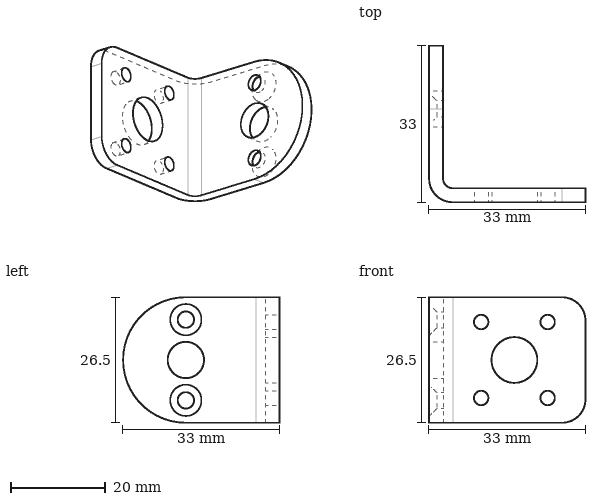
import cadquery as cq

LEG_LENGTH = 33.0
HEIGHT = 26.5
THICKNESS = 3.0
INNER_BEND_RADIUS = 2.0
OUTER_BEND_RADIUS = INNER_BEND_RADIUS + THICKNESS
MID_HEIGHT = HEIGHT / 2

MOTOR_CORNER_RADIUS = 5.0
MOTOR_CENTER_X = 18.0
MOTOR_BORE_DIAMETER = 9.6
MOTOR_SCREW_DIAMETER = 3.0
MOTOR_SCREW_PITCH_X = 14.0
MOTOR_SCREW_PITCH_Z = 16.0

ROUND_END_RADIUS = HEIGHT / 2
ROUND_CENTER_Y = LEG_LENGTH - ROUND_END_RADIUS
ROUND_BORE_DIAMETER = 7.6
COUNTERSUNK_HOLE_DIAMETER = 3.4
COUNTERSINK_DIAMETER = 6.6
COUNTERSINK_ANGLE = 90.0
COUNTERSUNK_PITCH_Z = 17.0


def bent_strip():
    """L-shaped strip with its outer bend at the origin corner."""
    strip = (
        cq.Workplane("XY")
        .polyline([
            (0, 0),
            (LEG_LENGTH, 0),
            (LEG_LENGTH, THICKNESS),
            (THICKNESS, THICKNESS),
            (THICKNESS, LEG_LENGTH),
            (0, LEG_LENGTH),
        ])
        .close()
        .extrude(HEIGHT)
    )
    outer_corner = (0, 0, MID_HEIGHT)
    inner_corner = (THICKNESS, THICKNESS, MID_HEIGHT)
    strip = strip.edges(cq.NearestToPointSelector(outer_corner)).fillet(OUTER_BEND_RADIUS)
    return strip.edges(cq.NearestToPointSelector(inner_corner)).fillet(INNER_BEND_RADIUS)


def round_motor_leg_corners(body):
    """Round the two free corners of the leg along X."""
    return body.faces(">X").edges("|Y").fillet(MOTOR_CORNER_RADIUS)


def round_leg_end(body):
    """Trim the free end of the leg along Y to a half circle."""
    straight_part = (
        cq.Workplane("XY")
        .box(LEG_LENGTH, ROUND_CENTER_Y, HEIGHT, centered=False)
    )
    round_part = (
        cq.Workplane("YZ")
        .center(ROUND_CENTER_Y, MID_HEIGHT)
        .circle(ROUND_END_RADIUS)
        .extrude(LEG_LENGTH)
    )
    return body.intersect(straight_part.union(round_part))


def drill_motor_leg(body):
    """Cut the motor bore and its four screw holes through the leg along X."""
    face = cq.Workplane("XZ", origin=(MOTOR_CENTER_X, 0, MID_HEIGHT))
    bore = face.circle(MOTOR_BORE_DIAMETER / 2).extrude(-THICKNESS)
    screws = (
        face.rect(MOTOR_SCREW_PITCH_X, MOTOR_SCREW_PITCH_Z, forConstruction=True)
        .vertices()
        .circle(MOTOR_SCREW_DIAMETER / 2)
        .extrude(-THICKNESS)
    )
    return body.cut(bore).cut(screws)


def drill_round_leg(body):
    """Cut the bore and two holes countersunk from the outer face of the leg along Y."""
    outer_face = cq.Workplane(
        cq.Plane(origin=(0, ROUND_CENTER_Y, MID_HEIGHT), xDir=(0, -1, 0), normal=(-1, 0, 0))
    )
    bore = outer_face.circle(ROUND_BORE_DIAMETER / 2).extrude(-THICKNESS)
    half_pitch = COUNTERSUNK_PITCH_Z / 2
    return (
        body.cut(bore)
        .copyWorkplane(outer_face)
        .pushPoints([(0, -half_pitch), (0, half_pitch)])
        .cskHole(COUNTERSUNK_HOLE_DIAMETER, COUNTERSINK_DIAMETER, COUNTERSINK_ANGLE, THICKNESS)
    )


bracket = bent_strip()
bracket = round_motor_leg_corners(bracket)
bracket = round_leg_end(bracket)
bracket = drill_motor_leg(bracket)
result = drill_round_leg(bracket)